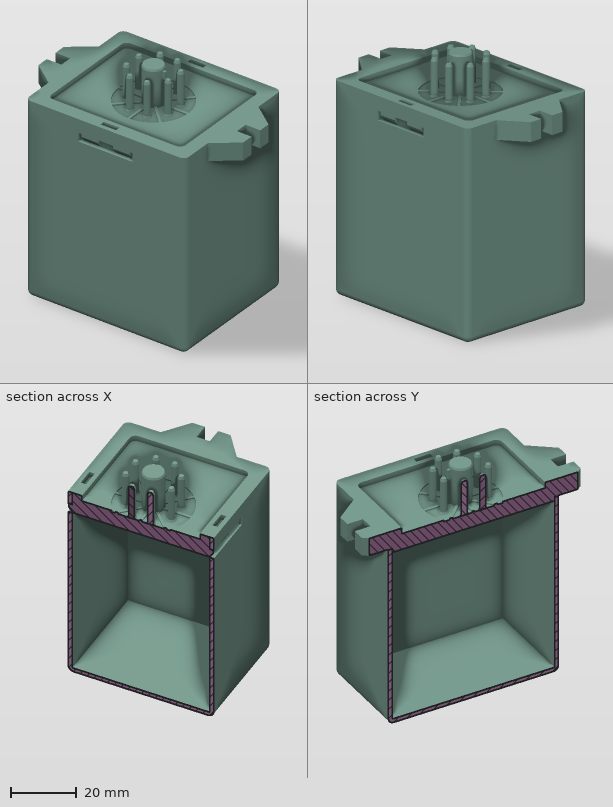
import cadquery as cq
import math


TOTAL_HEIGHT = 81.0

HOUSING_X = 60.0
HOUSING_Y = 50.0
HOUSING_HEIGHT = 70.0
WALL = 1.5
EDGE_RADIUS = 2.0

WINDOW_WIDTH = 20.4
WINDOW_TOP = HOUSING_HEIGHT - 4.9
WINDOW_BOTTOM = HOUSING_HEIGHT - 7.9

LID_X = HOUSING_X - 2 * WALL
LID_Y = HOUSING_Y - 2 * WALL
LID_BOTTOM = WINDOW_BOTTOM
RECESS_X = 50.4
RECESS_Y = 40.3
RECESS_DEPTH = 2.0
RECESS_RADIUS = 2.0
RECESS_FLOOR = HOUSING_HEIGHT - RECESS_DEPTH

EAR_SPAN = 77.0
EAR_ROOT_WIDTH = 26.1
EAR_TIP_WIDTH = 13.1
EAR_THICKNESS = 6.4
EAR_BOTTOM = HOUSING_HEIGHT - EAR_THICKNESS
SLOT_WIDTH = 4.5
SLOT_DEPTH = 5.5
SLOT_STEP_TOP = HOUSING_HEIGHT - 3.1
SLOT_STEP_HEIGHT = 0.5
SLOT_STEP_DEPTH = 0.2

NOTCH_WIDTH = 5.8
NOTCH_DEPTH_Y = 1.8
NOTCH_DEPTH_Z = 2.0

HOOK_WIDTH = 6.15
HOOK_CENTRE_X = 5.9
HOOK_REACH = 1.4
HOOK_FLAT = 1.1

SOCKET_RADIUS = 13.0
SOCKET_DEPTH = 0.5
SOCKET_FLOOR = RECESS_FLOOR - SOCKET_DEPTH
SPOKE_WIDTH = 0.9
POST_RADIUS = 3.7
POST_CHAMFER_HEIGHT = 0.65
POST_CHAMFER_INSET = 0.3
KEY_REACH = 4.7

PIN_COUNT = 8
PIN_STEP = 360 / PIN_COUNT
PIN_CIRCLE_RADIUS = 8.5
PIN_RADIUS = 1.1
PIN_TOP = 79.9
PIN_TIP_RADIUS = 0.77
PIN_TIP_HEIGHT = 0.9
COLLAR_RADIUS = 1.5
COLLAR_HEIGHT = 0.5

KEY_TOP = PIN_TOP


def block(size_x, size_y, bottom, top, x=0, y=0):
    """Box centred on (x, y) between two heights."""
    return (
        cq.Workplane("XY", origin=(x, y, bottom))
        .rect(size_x, size_y)
        .extrude(top - bottom)
    )


def turned(profile):
    """Solid of revolution about Z from (radius, height) points."""
    return cq.Workplane("XZ").polyline(profile).close().revolve(360, (0, 0, 0), (0, 1, 0))


def make_housing():
    """Open-topped shell with ear notches and latch windows."""
    shell = block(HOUSING_X, HOUSING_Y, 0, HOUSING_HEIGHT)
    shell = shell.edges("|Z or <Z").fillet(EDGE_RADIUS)
    cavity = block(LID_X, LID_Y, WALL, HOUSING_HEIGHT)
    ear_notch = block(HOUSING_X, EAR_ROOT_WIDTH, EAR_BOTTOM, HOUSING_HEIGHT)
    windows = block(WINDOW_WIDTH, HOUSING_Y, WINDOW_BOTTOM, WINDOW_TOP)
    return shell.cut(cavity).cut(ear_notch).cut(windows)


def make_ears():
    """Plate across the lid whose two ends are the tapered ears."""
    tip_x = EAR_SPAN / 2
    root_x = HOUSING_X / 2
    tip_y = EAR_TIP_WIDTH / 2
    root_y = EAR_ROOT_WIDTH / 2
    outline = [
        (root_x, root_y),
        (tip_x, tip_y),
        (tip_x, -tip_y),
        (root_x, -root_y),
        (-root_x, -root_y),
        (-tip_x, -tip_y),
        (-tip_x, tip_y),
        (-root_x, root_y),
    ]
    return cq.Workplane("XY", origin=(0, 0, EAR_BOTTOM)).polyline(outline).close().extrude(EAR_THICKNESS)


def make_ear_slot():
    """Open slot of the +X ear; its end wall steps slightly inward partway down."""
    tip_x = EAR_SPAN / 2
    end_x = tip_x - SLOT_DEPTH
    profile = [
        (tip_x, HOUSING_HEIGHT),
        (end_x, HOUSING_HEIGHT),
        (end_x, SLOT_STEP_TOP),
        (end_x - SLOT_STEP_DEPTH, SLOT_STEP_TOP - SLOT_STEP_HEIGHT),
        (end_x - SLOT_STEP_DEPTH, EAR_BOTTOM),
        (tip_x, EAR_BOTTOM),
    ]
    return cq.Workplane("XZ").polyline(profile).close().extrude(SLOT_WIDTH / 2, both=True)


def make_hook(x):
    """Latch hook on the -Y lid face: upright at the top, sloping back to the face below."""
    face_y = -LID_Y / 2
    tip_y = face_y - HOOK_REACH
    profile = [
        (face_y, WINDOW_TOP),
        (tip_y, WINDOW_TOP),
        (tip_y, WINDOW_TOP - HOOK_FLAT),
        (face_y, WINDOW_BOTTOM),
    ]
    return (
        cq.Workplane("YZ", origin=(x, 0, 0))
        .polyline(profile)
        .close()
        .extrude(HOOK_WIDTH / 2, both=True)
    )


def make_socket_sectors():
    """Shallow disc cut up by spokes; the remaining sectors are removed from the lid."""
    sectors = cq.Workplane("XY", origin=(0, 0, SOCKET_FLOOR)).circle(SOCKET_RADIUS).extrude(SOCKET_DEPTH)
    spoke = block(2 * SOCKET_RADIUS, SPOKE_WIDTH, SOCKET_FLOOR, RECESS_FLOOR)
    for i in range(PIN_COUNT // 2):
        sectors = sectors.cut(spoke.rotate((0, 0, 0), (0, 0, 1), i * PIN_STEP))
    return sectors


def make_post():
    """Chamfered central post with a key rib on its +X side."""
    post = turned(
        [
            (0, SOCKET_FLOOR),
            (POST_RADIUS, SOCKET_FLOOR),
            (POST_RADIUS, TOTAL_HEIGHT - POST_CHAMFER_HEIGHT),
            (POST_RADIUS - POST_CHAMFER_INSET, TOTAL_HEIGHT),
            (0, TOTAL_HEIGHT),
        ]
    )
    key = block(KEY_REACH, SPOKE_WIDTH, SOCKET_FLOOR, KEY_TOP, x=KEY_REACH / 2)
    return post.union(key)


def make_lid():
    """Lid block with ears, hooks, recess, edge notches, pin socket and post."""
    lid = block(LID_X, LID_Y, LID_BOTTOM, HOUSING_HEIGHT).union(make_ears())

    slot = make_ear_slot()
    lid = lid.cut(slot).cut(slot.mirror("YZ"))

    recess = block(RECESS_X, RECESS_Y, RECESS_FLOOR, HOUSING_HEIGHT).edges("|Z").fillet(RECESS_RADIUS)
    lid = lid.cut(recess)

    notch_y = (LID_Y - NOTCH_DEPTH_Y) / 2
    notch_bottom = HOUSING_HEIGHT - NOTCH_DEPTH_Z
    for y in (-notch_y, notch_y):
        lid = lid.cut(block(NOTCH_WIDTH, NOTCH_DEPTH_Y, notch_bottom, HOUSING_HEIGHT, y=y))

    for x in (-HOOK_CENTRE_X, HOOK_CENTRE_X):
        hook = make_hook(x)
        lid = lid.union(hook).union(hook.mirror("XZ"))

    return lid.cut(make_socket_sectors()).union(make_post())


def make_pin(angle):
    """Round pin with a conical foot collar and a tapered tip, standing on the socket floor."""
    profile = [
        (0, SOCKET_FLOOR),
        (COLLAR_RADIUS, SOCKET_FLOOR),
        (PIN_RADIUS, SOCKET_FLOOR + COLLAR_HEIGHT),
        (PIN_RADIUS, PIN_TOP - PIN_TIP_HEIGHT),
        (PIN_TIP_RADIUS, PIN_TOP),
        (0, PIN_TOP),
    ]
    x = PIN_CIRCLE_RADIUS * math.cos(math.radians(angle))
    y = PIN_CIRCLE_RADIUS * math.sin(math.radians(angle))
    return turned(profile).translate((x, y, 0))


housing = make_housing()
lid = make_lid()
pins = [make_pin((i + 0.5) * PIN_STEP) for i in range(PIN_COUNT)]

result = cq.Compound.makeCompound([housing.val(), lid.val(), *[pin.val() for pin in pins]])